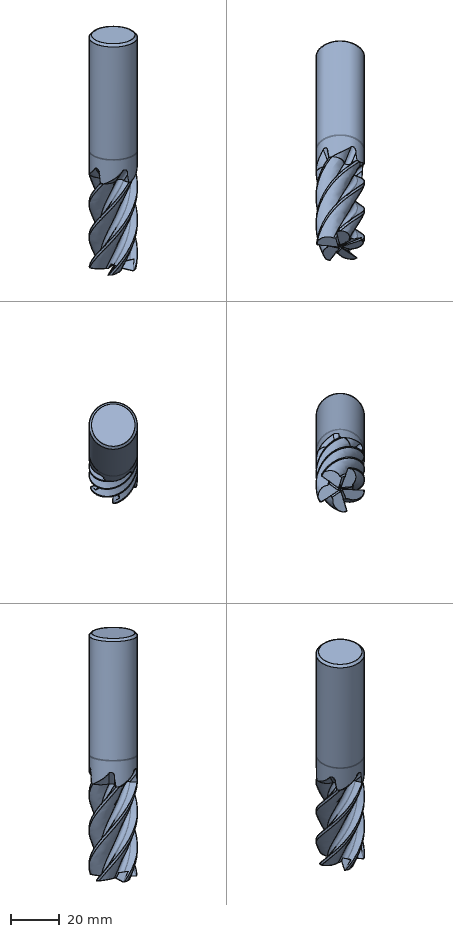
import cadquery as cq

import math

OVERALL_LENGTH = 104.0
DIAMETER = 20.0
CUTTING_LENGTH = 41.0
NECK_TOP = 52.0
NECK_DIAMETER = 19.9
NECK_TAPER_LENGTH = 0.3
SHANK_CHAMFER = 1.0

TOOTH_COUNT = 5
HELIX_LEAD = 74.9
SPLIT_EDGE_ANGLE = -55.5

MARGIN_ANGLE = 8.0
BACK_MIDDLE_ANGLE = 28.5
BACK_MIDDLE_RADIUS = 8.1
FLUTE_START_ANGLE = 46.8
FLUTE_START_RADIUS = 5.4
FLUTE_FLOOR_ANGLE = 57.5
FLUTE_FLOOR_RADIUS = 5.1
FLUTE_END_ANGLE = 69.5
FLUTE_END_RADIUS = 7.1

RUNOUT_LENGTH = 6.2
RUNOUT_ANGLE = 61.5

END_RELIEF_ANGLE = 12.0
GASH_INNER_HEIGHT = 1.4
GASH_OUTER_HEIGHT = 4.6
GASH_WALL_LEAN = 0.7
GASH_FLOOR_EDGE = 0.06
GASH_FLANK_FOOT = 0.55
CORNER_CHAMFER = 0.4

RADIUS = DIAMETER / 2
PITCH_ANGLE = 360.0 / TOOTH_COUNT
TWIST_ANGLE = 360.0 * CUTTING_LENGTH / HELIX_LEAD
BOTTOM_EDGE_ANGLE = SPLIT_EDGE_ANGLE - TWIST_ANGLE


def polar(radius, angle):
    """Point at a radius and an angle in degrees."""
    return (radius * math.cos(math.radians(angle)), radius * math.sin(math.radians(angle)))


def add_flute_outline(outline, edge_angle):
    """Add the back, the round floor and the rake face that follow a margin, up to the next edge."""
    return (
        outline.threePointArc(
            polar(BACK_MIDDLE_RADIUS, edge_angle + BACK_MIDDLE_ANGLE),
            polar(FLUTE_START_RADIUS, edge_angle + FLUTE_START_ANGLE),
        )
        .threePointArc(
            polar(FLUTE_FLOOR_RADIUS, edge_angle + FLUTE_FLOOR_ANGLE),
            polar(FLUTE_END_RADIUS, edge_angle + FLUTE_END_ANGLE),
        )
        .lineTo(*polar(RADIUS, edge_angle + PITCH_ANGLE))
    )


def make_fluted_bar():
    """Five-toothed section twisted along the helix."""
    section = cq.Workplane("XY").moveTo(*polar(RADIUS, BOTTOM_EDGE_ANGLE))
    for tooth in range(TOOTH_COUNT):
        edge_angle = BOTTOM_EDGE_ANGLE + tooth * PITCH_ANGLE
        section = section.threePointArc(
            polar(RADIUS, edge_angle + MARGIN_ANGLE / 2),
            polar(RADIUS, edge_angle + MARGIN_ANGLE),
        )
        section = add_flute_outline(section, edge_angle)
    return section.close().twistExtrude(CUTTING_LENGTH, TWIST_ANGLE)


def make_end_relief():
    """Wedge that tilts the end face upward behind an edge lying along +X."""
    reach = DIAMETER
    rise = reach * math.tan(math.radians(END_RELIEF_ANGLE))
    wedge = cq.Workplane("YZ").polyline([(0, 0), (reach, 0), (reach, rise)]).close().extrude(reach)
    sector = (
        cq.Workplane("XY")
        .polyline([(0, 0), (reach, 0), polar(reach, PITCH_ANGLE / 2), polar(reach, PITCH_ANGLE)])
        .close()
        .extrude(rise)
    )
    return wedge.intersect(sector)


def gash_section(height):
    """Corners of the gash: tooth end, both edges of its floor, and the foot of the far flank."""
    return [
        (0, 0),
        (GASH_WALL_LEAN * height, height),
        (GASH_FLOOR_EDGE * height, height),
        (-GASH_FLANK_FOOT * height, 0),
    ]


def make_gash():
    """Gash that deepens from the axis outward along an edge lying along +X."""
    return (
        cq.Workplane("YZ")
        .polyline(gash_section(GASH_INNER_HEIGHT))
        .close()
        .workplane(offset=RADIUS)
        .polyline(gash_section(GASH_OUTER_HEIGHT))
        .close()
        .loft(ruled=True)
    )


def make_corner_chamfer():
    """Ring that bevels the outer corners of the tooth ends."""
    return (
        cq.Workplane("XZ")
        .polyline([
            (RADIUS - CORNER_CHAMFER, 0),
            (RADIUS + CORNER_CHAMFER, 0),
            (RADIUS + CORNER_CHAMFER, 2 * CORNER_CHAMFER),
        ])
        .close()
        .revolve(360, (0, 0, 0), (0, 1, 0))
    )


def make_cutter():
    """Fluted bar with a gash and a relieved end face at every tooth."""
    cutter = make_fluted_bar()
    end_relief = make_end_relief()
    gash = make_gash()
    axis_start, axis_end = (0, 0, 0), (0, 0, 1)
    for tooth in range(TOOTH_COUNT):
        edge_angle = BOTTOM_EDGE_ANGLE + tooth * PITCH_ANGLE
        cutter = cutter.cut(gash.rotate(axis_start, axis_end, edge_angle))
        cutter = cutter.cut(end_relief.rotate(axis_start, axis_end, edge_angle))
    return cutter.cut(make_corner_chamfer())


def make_runout(edge_angle):
    """Flute section carried straight upward and outward until its floor leaves the neck."""
    outline = cq.Workplane("XY", origin=(0, 0, CUTTING_LENGTH)).moveTo(
        *polar(RADIUS, edge_angle + MARGIN_ANGLE)
    )
    outline = add_flute_outline(outline, edge_angle)
    outline = outline.lineTo(*polar(2 * RADIUS, edge_angle + PITCH_ANGLE))
    outline = outline.lineTo(*polar(2 * RADIUS, edge_angle + MARGIN_ANGLE)).close()
    floor_x, floor_y = polar(FLUTE_FLOOR_RADIUS, edge_angle + FLUTE_FLOOR_ANGLE)
    tip_x, tip_y = polar(RADIUS, edge_angle + RUNOUT_ANGLE)
    path = cq.Vector(tip_x - floor_x, tip_y - floor_y, RUNOUT_LENGTH)
    return cq.Workplane(cq.Solid.extrudeLinear(outline.val(), [], path))


def make_holder():
    """Shank and neck turned as one piece, with the flutes running out in the neck."""
    neck_radius = NECK_DIAMETER / 2
    holder = (
        cq.Workplane("XZ")
        .polyline([
            (0, CUTTING_LENGTH),
            (neck_radius, CUTTING_LENGTH),
            (neck_radius, NECK_TOP),
            (RADIUS, NECK_TOP + NECK_TAPER_LENGTH),
            (RADIUS, OVERALL_LENGTH - SHANK_CHAMFER),
            (RADIUS - SHANK_CHAMFER, OVERALL_LENGTH),
            (0, OVERALL_LENGTH),
        ])
        .close()
        .revolve(360, (0, 0, 0), (0, 1, 0))
    )
    for flute in range(TOOTH_COUNT):
        holder = holder.cut(make_runout(SPLIT_EDGE_ANGLE + flute * PITCH_ANGLE))
    return holder


cutter = make_cutter()
holder = make_holder()

result = cq.Compound.makeCompound([cutter.solids().val(), holder.solids().val()])